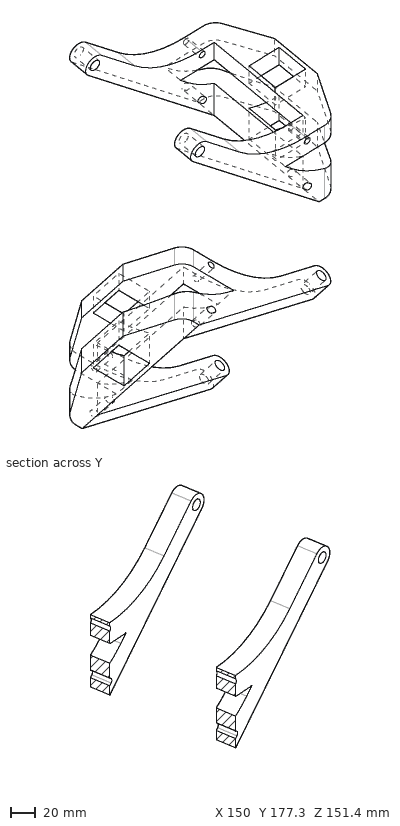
import cadquery as cq
import math

width = 150.0
length = 177.3
height = 151.4
arm_thickness = 20.0
arm_angle = 45

eye_radius = 10.0
pivot_hole_radius = 5.0
pivot_y = -(length - eye_radius)
pivot_z = height - eye_radius

arc_radius = 100.0
upper_plate_top = 84.0
upper_plate_bottom = upper_plate_top - arm_thickness
lower_plate_top = 28.0

back_flat_width = 53.0
shoulder_depth = 25.0
shoulder_radius = 15.0
web_depth = 39.9
window_width = 32.6
window_depth = 32.0
window_back_wall = 3.9

cross_hole_radius = 3.0
cross_hole_y = -52.6
upper_hole_z = 78.3
slot_z = 26.2
slot_length = 10.6
slot_tilt = -arm_angle

diagonal = math.sqrt(0.5)
eye_offset = eye_radius * diagonal
upper_tangent = (pivot_y + eye_offset, pivot_z + eye_offset)
lower_tangent = (pivot_y - eye_offset, pivot_z - eye_offset)
eye_tip = (pivot_y - eye_offset, pivot_z + eye_offset)
upper_edge_sum = sum(upper_tangent)
lower_edge_sum = sum(lower_tangent)


def arc_points(bottom_z):
    """End, middle and start of the 45 degree arc rising forward from bottom_z."""
    end_z = bottom_z + arc_radius * (1 - diagonal)
    start_y = upper_edge_sum - end_z + arc_radius * diagonal
    half_angle = math.radians(arm_angle / 2)
    middle = (
        start_y - arc_radius * math.sin(half_angle),
        bottom_z + arc_radius * (1 - math.cos(half_angle)),
    )
    return (upper_edge_sum - end_z, end_z), middle, (start_y, bottom_z)


def side_body():
    """Side profile extended across the full width."""
    upper_end, upper_middle, upper_start = arc_points(upper_plate_top)
    lower_end, lower_middle, lower_start = arc_points(lower_plate_top)
    overrun = lower_start[0]
    return (
        cq.Workplane("YZ")
        .moveTo(overrun, 0)
        .lineTo(lower_edge_sum, 0)
        .lineTo(*lower_tangent)
        .threePointArc(eye_tip, upper_tangent)
        .lineTo(*upper_end)
        .threePointArc(upper_middle, upper_start)
        .lineTo(overrun, upper_plate_top)
        .lineTo(overrun, upper_plate_bottom)
        .lineTo(upper_edge_sum - upper_plate_bottom, upper_plate_bottom)
        .lineTo(*lower_end)
        .threePointArc(lower_middle, lower_start)
        .close()
        .extrude(width / 2, both=True)
    )


def plan_body():
    """U-shaped plan outline with tapered, rounded shoulders and a window."""
    outer = (
        cq.Workplane("XY")
        .moveTo(-back_flat_width / 2, 0)
        .lineTo(back_flat_width / 2, 0)
        .lineTo(width / 2, -shoulder_depth)
        .lineTo(width / 2, -length)
        .lineTo(-width / 2, -length)
        .lineTo(-width / 2, -shoulder_depth)
        .close()
        .extrude(height)
    )
    for side in (-1, 1):
        shoulder = cq.NearestToPointSelector((side * width / 2, -shoulder_depth, height / 2))
        outer = outer.edges("|Z").edges(shoulder).fillet(shoulder_radius)
    gap = (
        cq.Workplane("XY")
        .box(width - 2 * arm_thickness, length - web_depth, height, centered=(True, False, False))
        .translate((0, -length, 0))
    )
    window = (
        cq.Workplane("XY")
        .box(window_width, window_depth, height, centered=(True, False, False))
        .translate((0, -window_back_wall - window_depth, 0))
    )
    return outer.cut(gap).cut(window)


def cross_holes():
    """Pivot bores, round holes and tilted slots crossing both arms."""
    sketches = (
        cq.Workplane("YZ").center(pivot_y, pivot_z).circle(pivot_hole_radius),
        cq.Workplane("YZ").center(cross_hole_y, upper_hole_z).circle(cross_hole_radius),
        cq.Workplane("YZ").center(cross_hole_y, slot_z).slot2D(slot_length, 2 * cross_hole_radius, slot_tilt),
    )
    pivot, upper, slot = (sketch.extrude(width / 2, both=True) for sketch in sketches)
    return pivot.union(upper).union(slot)


result = side_body().intersect(plan_body()).cut(cross_holes())